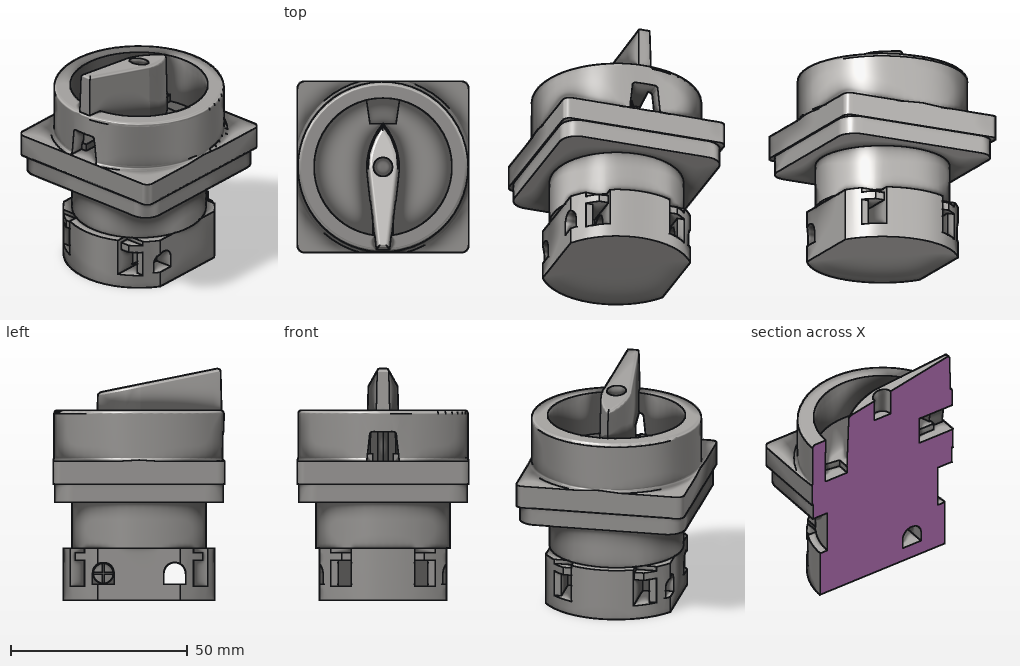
import cadquery as cq
import math

block_top = 14.75
collar_top = 27.75
lower_flange_top = 32.85
flange_top = 39.3
pocket_floor = 41.4
ring_top = 53.8
overall_height = 65.58

flange_side = 48.5
flange_corner = 2.1
lower_flange_side = 47.75
lower_flange_corner = 5.1
collar_radius = 19.0
block_radius = 21.45
block_half_width = 18.0
ring_radius = 24.05
ring_inner_radius = 19.5
ring_fillet = 1.0

window_height = 8.4
window_bottom_half = 4.6
window_top_half = 3.7
window_corner = 0.9
keyway_half = 2.85
rear_notch_inner_y = 12.2
rear_notch_inner_half = 3.7
rear_notch_outer_half = 4.75
handle_undercut_y = -9.8
wedge_half = 1.5
wedge_length = 3.0

handle_tip_y = 12.3
handle_half = 4.65
handle_widest_y = -0.5
handle_end_y = -23.7
handle_end_half = 2.15
handle_draft = 1.4
handle_slope = 11.4
handle_top_fillet = 1.0
handle_peak_y = -22.05
handle_hole_diameter = 5.4

terminal_y = 10.1
terminal_width = 6.1
terminal_floor = 4.6
terminal_axis_z = terminal_floor + terminal_width / 2
terminal_depth = 4.5
screw_diameter = 5.7
screw_height = 1.5
screw_slot_width = 0.6
screw_slot_depth = 0.6

slot_inner_x = 8.95
slot_step_x = 12.7
slot_outer_x = 14.8
slot_floor = 3.95
slot_shallow_y = 15.4
slot_deep_y = 6.5
tab_y = 18.0
tab_bottom = 11.3
tab_top = 13.5


def box(x0, x1, y0, y1, z0, z1):
    """Box between two opposite corners, in any order along each axis."""
    size = (abs(x1 - x0), abs(y1 - y0), abs(z1 - z0))
    low_corner = (min(x0, x1), min(y0, y1), min(z0, z1))
    return cq.Workplane("XY").box(*size, centered=False).translate(low_corner)


def cylinder(radius, z0, z1):
    return cq.Workplane("XY").workplane(offset=z0).circle(radius).extrude(z1 - z0)


def rounded_square(side, corner, z0, z1):
    plate = cq.Workplane("XY").workplane(offset=z0).rect(side, side).extrude(z1 - z0)
    return plate.edges("|Z").fillet(corner)


def arch_prism(y, x0, x1):
    """Round-topped tunnel running along X."""
    half = terminal_width / 2
    return (
        cq.Workplane("YZ")
        .workplane(offset=x0)
        .moveTo(y - half, terminal_floor)
        .lineTo(y + half, terminal_floor)
        .lineTo(y + half, terminal_axis_z)
        .threePointArc((y, terminal_axis_z + half), (y - half, terminal_axis_z))
        .close()
        .extrude(x1 - x0)
    )


def cut_corner_slot(block, side_x, side_y):
    """Open slot in one corner of the rim, stepped in depth and bridged by a flat-faced tab."""
    inner_x = side_x * slot_inner_x
    step_x = side_x * slot_step_x
    outer_x = side_x * slot_outer_x
    rim_y = side_y * block_radius
    shallow_y = side_y * slot_shallow_y
    shallow = box(inner_x, outer_x, shallow_y, rim_y, slot_floor, block_top)
    deep = box(inner_x, step_x, side_y * slot_deep_y, rim_y, slot_floor, tab_bottom)
    tab = box(inner_x, outer_x, shallow_y, side_y * tab_y, tab_bottom, tab_top)
    return block.cut(shallow.cut(tab)).cut(deep)


def make_screw():
    """Cross-slotted screw head facing -X at the bottom of the terminal recess."""
    base_x = -block_half_width + terminal_depth
    face_x = base_x - screw_height
    head = (
        cq.Workplane("YZ", origin=(base_x, terminal_y, terminal_axis_z))
        .circle(screw_diameter / 2)
        .extrude(-screw_height)
    )
    cross = (
        cq.Workplane("YZ", origin=(face_x, terminal_y, terminal_axis_z))
        .rect(screw_diameter, screw_slot_width)
        .extrude(screw_slot_depth)
        .union(
            cq.Workplane("YZ", origin=(face_x, terminal_y, terminal_axis_z))
            .rect(screw_slot_width, screw_diameter)
            .extrude(screw_slot_depth)
        )
    )
    return head.cut(cross)


def make_block():
    """Round contact block with two flats, terminal windows and corner slots."""
    flats = box(-block_half_width, block_half_width, -block_radius, block_radius, 0, block_top)
    block = cylinder(block_radius, 0, block_top).intersect(flats)
    for side_x in (-1, 1):
        for side_y in (-1, 1):
            block = cut_corner_slot(block, side_x, side_y)
    block = block.cut(arch_prism(-terminal_y, -block_radius, block_radius))
    block = block.cut(arch_prism(terminal_y, -block_radius, -block_half_width + terminal_depth))
    return block.union(make_screw())


def make_ring():
    """Guard ring with a rounded rim and a fillet onto the flange, trimmed to the flange outline."""
    arc_offset = ring_fillet * (1 - math.sqrt(0.5))
    foot_radius = ring_radius + ring_fillet
    profile = (
        cq.Workplane("XZ")
        .moveTo(0, flange_top)
        .lineTo(foot_radius, flange_top)
        .threePointArc(
            (ring_radius + arc_offset, flange_top + arc_offset),
            (ring_radius, flange_top + ring_fillet),
        )
        .lineTo(ring_radius, ring_top - ring_fillet)
        .threePointArc(
            (ring_radius - arc_offset, ring_top - arc_offset),
            (ring_radius - ring_fillet, ring_top),
        )
        .lineTo(ring_inner_radius, ring_top)
        .lineTo(ring_inner_radius, pocket_floor)
        .lineTo(0, pocket_floor)
        .close()
    )
    ring = profile.revolve(360, (0, 0, 0), (0, 1, 0))
    return ring.intersect(rounded_square(flange_side, flange_corner, flange_top, ring_top))


def make_rear_notch():
    """Trapezoidal notch in the pocket floor, ending at the ring wall."""
    notch = (
        cq.Workplane("XY")
        .workplane(offset=flange_top)
        .moveTo(-rear_notch_inner_half, rear_notch_inner_y)
        .lineTo(rear_notch_inner_half, rear_notch_inner_y)
        .lineTo(rear_notch_outer_half, ring_inner_radius)
        .lineTo(-rear_notch_outer_half, ring_inner_radius)
        .close()
        .extrude(pocket_floor - flange_top)
    )
    return notch.intersect(cylinder(ring_inner_radius, flange_top, pocket_floor))


def handle_outline(z):
    """Pointed at +Y, widest near the axis and tapering to a flat end at -Y."""
    length = handle_tip_y - handle_widest_y
    arc_radius = (handle_half**2 + length**2) / (2 * handle_half)
    mid_rise = length / 2
    mid_x = handle_half - arc_radius + math.sqrt(arc_radius**2 - mid_rise**2)
    mid_y = handle_widest_y + mid_rise
    return (
        cq.Workplane("XY")
        .workplane(offset=z)
        .moveTo(0, handle_tip_y)
        .threePointArc((mid_x, mid_y), (handle_half, handle_widest_y))
        .lineTo(handle_end_half, handle_end_y)
        .lineTo(-handle_end_half, handle_end_y)
        .lineTo(-handle_half, handle_widest_y)
        .threePointArc((-mid_x, mid_y), (0, handle_tip_y))
        .close()
    )


def make_handle():
    """Drafted handle with a sloping, rounded top and a blind hole on the axis."""
    handle = handle_outline(pocket_floor).extrude(
        overall_height + handle_top_fillet - pocket_floor, taper=handle_draft
    )
    reach = 2 * flange_side
    slope_cut = (
        cq.Workplane("XY")
        .box(reach, reach, reach, centered=(True, True, False))
        .rotate((0, 0, 0), (1, 0, 0), -handle_slope)
        .translate((0, handle_peak_y, overall_height))
    )
    handle = handle.cut(slope_cut)
    handle = handle.faces(">Z").edges().fillet(handle_top_fillet)
    return handle.cut(cylinder(handle_hole_diameter / 2, ring_top, overall_height))


def make_window():
    """Tapered opening through the ring wall that continues under the handle arm."""
    depth = flange_side / 2 + handle_undercut_y
    window = (
        cq.Workplane("XZ", origin=(0, handle_undercut_y, flange_top))
        .moveTo(-window_bottom_half, 0)
        .lineTo(window_bottom_half, 0)
        .lineTo(window_top_half, window_height)
        .lineTo(-window_top_half, window_height)
        .close()
        .extrude(depth)
    )
    window = window.faces(">Z").edges("|Y").fillet(window_corner)
    for side in (-1, 1):
        sill = box(
            side * keyway_half,
            side * window_bottom_half,
            handle_undercut_y,
            -ring_inner_radius,
            flange_top,
            pocket_floor,
        )
        window = window.cut(sill)
    return window


def make_wedge():
    """Pointed rib standing in the opening under the handle arm."""
    return (
        cq.Workplane("XY")
        .workplane(offset=flange_top)
        .moveTo(-wedge_half, handle_undercut_y)
        .lineTo(0, handle_undercut_y - wedge_length)
        .lineTo(wedge_half, handle_undercut_y)
        .close()
        .extrude(window_height)
    )


body = make_block()
body = body.union(cylinder(collar_radius, block_top, collar_top))
body = body.union(
    rounded_square(lower_flange_side, lower_flange_corner, collar_top, lower_flange_top)
)
body = body.union(rounded_square(flange_side, flange_corner, lower_flange_top, flange_top))
body = body.union(make_ring())
body = body.cut(make_rear_notch())
body = body.union(make_handle())
body = body.cut(make_window())
result = body.union(make_wedge())